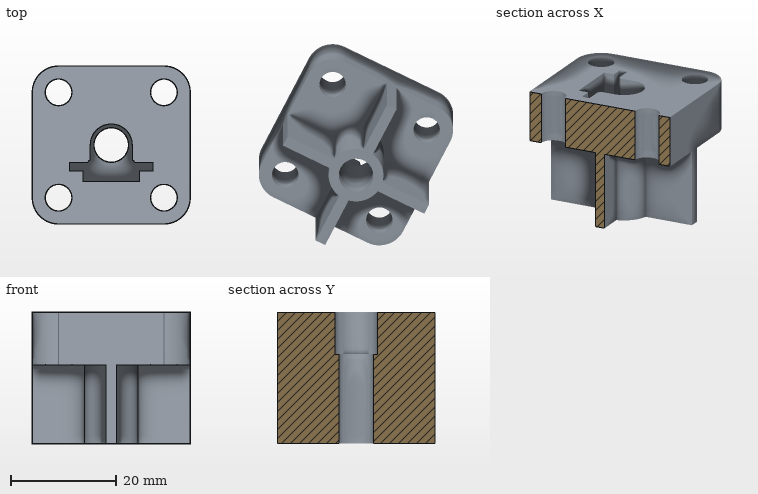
import cadquery as cq

side = 30.0
plate_height = 10.0
corner_radius = 5.0
bolt_diameter = 5.0
bolt_spacing = side - 2 * corner_radius

stem_height = 15.0
stem_wall = 1.95
rib_thickness = 2.0
bore_diameter = 6.5
stem_diameter = bore_diameter + 2 * stem_wall

pocket_depth = 8.0
pocket_radius = 4.0
arm_width = 15.8
arm_top = -3.27
arm_bottom = -4.9
lip_width = 10.7
lip_bottom = -6.95
throat_chamfer = 0.5

total_height = stem_height + plate_height


def make_plate():
    plate = cq.Workplane("XY").workplane(offset=stem_height).rect(side, side).extrude(plate_height)
    plate = plate.edges("|Z").fillet(corner_radius)
    return (
        plate.faces(">Z").workplane()
        .rect(bolt_spacing, bolt_spacing, forConstruction=True)
        .vertices()
        .hole(bolt_diameter)
    )


def make_stem():
    stem = cq.Workplane("XY").circle(stem_diameter / 2).extrude(stem_height)
    for length_x, length_y in ((side, rib_thickness), (rib_thickness, side)):
        stem = stem.union(cq.Workplane("XY").rect(length_x, length_y).extrude(stem_height))
    return stem


def make_pocket():
    """Round-ended throat opening into a cross slot with a narrower lip."""
    throat_bottom = arm_top + throat_chamfer
    throat_half = pocket_radius + throat_chamfer
    return (
        cq.Workplane("XY").workplane(offset=total_height - pocket_depth)
        .moveTo(-pocket_radius, 0)
        .threePointArc((0, pocket_radius), (pocket_radius, 0))
        .lineTo(pocket_radius, throat_bottom)
        .lineTo(throat_half, arm_top)
        .lineTo(arm_width / 2, arm_top)
        .lineTo(arm_width / 2, arm_bottom)
        .lineTo(lip_width / 2, arm_bottom)
        .lineTo(lip_width / 2, lip_bottom)
        .lineTo(-lip_width / 2, lip_bottom)
        .lineTo(-lip_width / 2, arm_bottom)
        .lineTo(-arm_width / 2, arm_bottom)
        .lineTo(-arm_width / 2, arm_top)
        .lineTo(-throat_half, arm_top)
        .lineTo(-pocket_radius, throat_bottom)
        .close()
        .extrude(pocket_depth)
    )


bore = cq.Workplane("XY").circle(bore_diameter / 2).extrude(total_height)
result = make_plate().union(make_stem()).cut(make_pocket()).cut(bore)